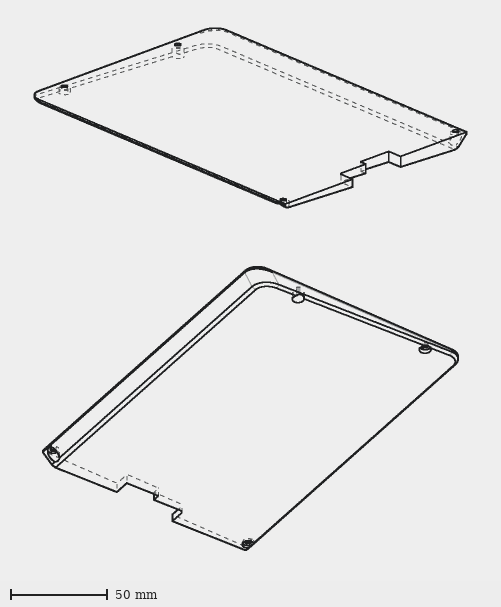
import cadquery as cq
import math

length = 194.9
width = 132.7
height = 7.6

rim_height = 1.0
front_corner_radius = 8.0

front_height = 2.5
bottom_chamfer = 1.4
back_corner_radius = 10.0
left_lean = math.tan(math.radians(15.0))
back_slope = math.tan(math.radians(45.0))
sharp_depth = height + bottom_chamfer * (height - front_height) / width
spare = 7.8

back_tab_end = 190.0
middle_end = 185.1
notch_floor = 181.0
front_tab_width = 47.5
middle_width = 66.0
back_tab_start = 86.0
notch_fillet = 1.5

hole_diameter = 3.1
head_diameter = 6.0
roof_over_head = 1.0
hole_centers = [(4.7, 21.5), (4.7, 101.5), (185.1, 129.4), (190.0, 3.1)]


def rim_plate():
    """Thin top plate with two rounded left corners."""
    plate = cq.Workplane("XY").box(length, width, rim_height, centered=False)
    return plate.translate((0, 0, -rim_height)).edges("|Z and <X").fillet(front_corner_radius)


def wedge_body():
    """Wedge with a sloping back, a leaning left side and chamfered lower edges."""
    top = spare - rim_height
    drop = sharp_depth - rim_height
    side_profile = [
        (0, top),
        (width + spare * back_slope, top),
        (width - drop * back_slope, -sharp_depth),
        (0, -front_height),
    ]
    left_profile = [
        (-spare * left_lean, top),
        (length + spare, top),
        (length + spare, -sharp_depth),
        (drop * left_lean, -sharp_depth),
    ]
    wedge = cq.Workplane("YZ", origin=(-spare, 0, 0)).polyline(side_profile).close()
    wedge = wedge.extrude(length + 2 * spare)
    lean = cq.Workplane("XZ").polyline(left_profile).close().extrude(-(width + spare))
    body = wedge.intersect(lean)
    body = body.faces("<X").edges("<Y").fillet(front_corner_radius)
    body = body.faces("<X").edges(">Y").fillet(back_corner_radius)
    body = body.faces("<Z").edges("not >X").chamfer(bottom_chamfer)
    below_rim = cq.Workplane("XY").box(length, width, drop, centered=False)
    return body.intersect(below_rim.translate((0, 0, -sharp_depth)))


def right_end_cut():
    """Material removed to leave the two tabs and the stepped notch."""
    outline = [
        (length, front_tab_width),
        (middle_end, front_tab_width),
        (middle_end, middle_width),
        (notch_floor, middle_width),
        (notch_floor, back_tab_start),
        (back_tab_end, back_tab_start),
        (back_tab_end, width),
        (length, width),
    ]
    cut = cq.Workplane("XY").polyline(outline).close().extrude(-sharp_depth)
    inner_corner = cq.selectors.NearestToPointSelector((middle_end, front_tab_width, -sharp_depth / 2))
    return cut.edges(inner_corner).fillet(notch_fillet)


def screw_holes():
    """Through holes with wide head pockets opening downwards."""
    holes = cq.Workplane("XY").pushPoints(hole_centers)
    shanks = holes.circle(hole_diameter / 2).extrude(-sharp_depth)
    heads = holes.circle(head_diameter / 2).extrude(-sharp_depth).translate((0, 0, -roof_over_head))
    return shanks.union(heads)


result = rim_plate().union(wedge_body()).cut(right_end_cut()).cut(screw_holes())